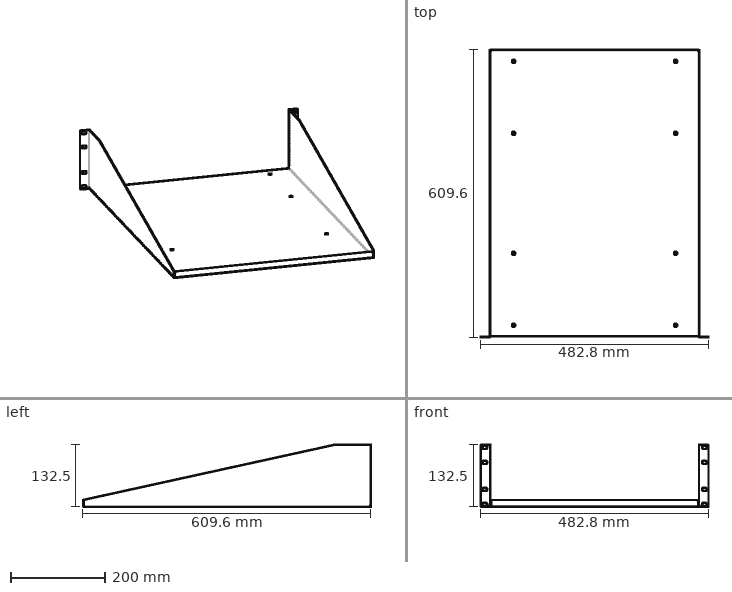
import cadquery as cq

total_width = 482.75
total_depth = 609.6
total_height = 132.54

sheet = 1.52
inner_bend = 1.52
outer_bend = inner_bend + sheet
ear_inner_bend = 0.4
ear_outer_bend = ear_inner_bend + sheet

tray_width = 444.5
floor_setback = ear_outer_bend
lip_height = 15.4
lip_corner_radius = 3.0
wall_top_length = 76.2

ear_corner_radius = 3.5
slot_length = 9.8
slot_height = 6.35
slot_spacing_x = 465.1
outer_slot_pitch = 120.65
inner_slot_pitch = 57.15

hole_diameter = 6.35
hole_spacing_x = 342.9
outer_hole_pitch = 558.8
inner_hole_pitch = 254.0

half_tray = tray_width / 2
floor_flat_half = half_tray - outer_bend
lip_bend_start = total_depth - outer_bend
half_width = total_width / 2
mid_depth = total_depth / 2
mid_height = total_height / 2


def block(x_range, y_range, z_range):
    """Box between the given limits on each axis."""
    lengths = [high - low for low, high in (x_range, y_range, z_range)]
    corner = (x_range[0], y_range[0], z_range[0])
    return cq.Workplane("XY").box(*lengths, centered=False).translate(corner)


def make_channel():
    """Floor and side walls bent as a U, with the walls cut to a slope behind the level front part."""
    y_range = (floor_setback, total_depth - sheet)
    inside = half_tray - sheet
    outer = block((-half_tray, half_tray), y_range, (0, total_height))
    outer = outer.edges("<Z and |Y").fillet(outer_bend)
    cavity = block((-inside, inside), y_range, (sheet, total_height))
    cavity = cavity.edges("<Z and |Y").fillet(inner_bend)
    side_outline = (
        cq.Workplane("YZ")
        .moveTo(0, 0)
        .lineTo(total_depth, 0)
        .lineTo(total_depth, lip_height)
        .lineTo(wall_top_length, total_height)
        .lineTo(0, total_height)
        .close()
        .extrude(half_tray, both=True)
    )
    lip_x_range = (-floor_flat_half, floor_flat_half)
    rear_clearance = block(lip_x_range, (lip_bend_start, total_depth), (0, lip_height))
    return outer.cut(cavity).intersect(side_outline).cut(rear_clearance)


def make_rear_lip():
    """Flange bent up from the flat of the floor, with rounded top corners."""
    lip = (
        cq.Workplane("YZ")
        .moveTo(lip_bend_start, 0)
        .radiusArc((total_depth, outer_bend), -outer_bend)
        .lineTo(total_depth, lip_height)
        .lineTo(total_depth - sheet, lip_height)
        .lineTo(total_depth - sheet, outer_bend)
        .radiusArc((lip_bend_start, sheet), inner_bend)
        .close()
        .extrude(floor_flat_half, both=True)
    )
    return lip.faces(">Z").edges("|Y").fillet(lip_corner_radius)


def make_right_ear():
    """Front flange turned outward from the right wall, with the bend joining them."""
    inner_face = half_tray - sheet
    bend_end = half_tray + ear_inner_bend
    flange = block((bend_end, half_width), (0, sheet), (0, total_height))
    flange = flange.edges(">X and |Y").fillet(ear_corner_radius)
    bend = (
        cq.Workplane("XY")
        .workplane(offset=outer_bend)
        .moveTo(bend_end, 0)
        .radiusArc((inner_face, ear_outer_bend), ear_outer_bend)
        .lineTo(half_tray, ear_outer_bend)
        .radiusArc((bend_end, sheet), -ear_inner_bend)
        .close()
        .extrude(total_height - outer_bend)
    )
    slot_points = [
        (slot_spacing_x / 2, mid_height + side * pitch / 2)
        for pitch in (outer_slot_pitch, inner_slot_pitch)
        for side in (-1, 1)
    ]
    slots = (
        cq.Workplane("XZ")
        .pushPoints(slot_points)
        .slot2D(slot_length, slot_height)
        .extrude(-sheet)
    )
    return flange.union(bend).cut(slots)


def make_floor_holes():
    """Mounting holes through the floor, in two rows of four."""
    hole_points = [
        (side * hole_spacing_x / 2, mid_depth + end * pitch / 2)
        for side in (-1, 1)
        for pitch in (outer_hole_pitch, inner_hole_pitch)
        for end in (-1, 1)
    ]
    return cq.Workplane("XY").pushPoints(hole_points).circle(hole_diameter / 2).extrude(sheet)


right_ear = make_right_ear()
left_ear = right_ear.mirror("YZ")
result = (
    make_channel()
    .union(make_rear_lip())
    .union(right_ear)
    .union(left_ear)
    .cut(make_floor_holes())
)